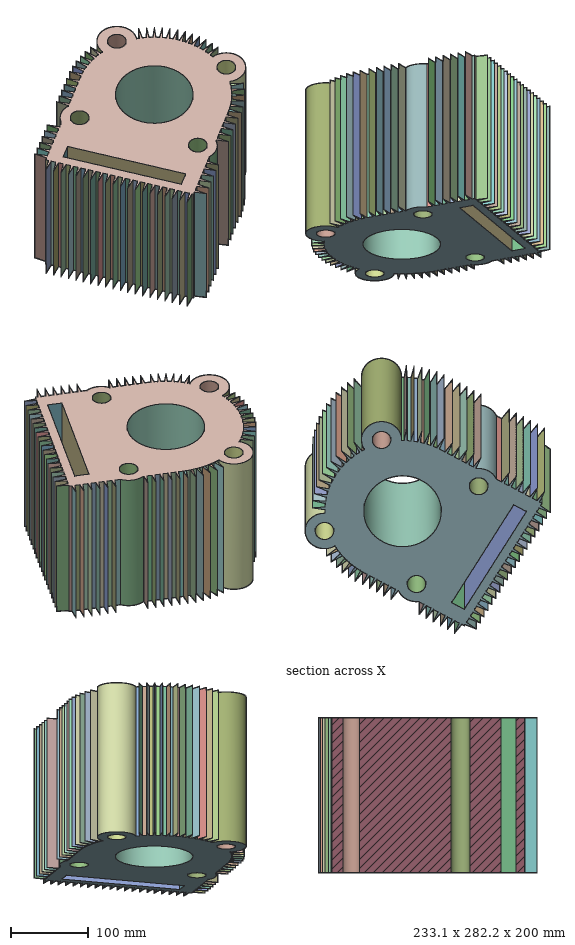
import cadquery as cq
import math


HEIGHT = 200.0
BLOCK_WIDTH = HEIGHT
BLOCK_RADIUS = BLOCK_WIDTH / 2
FLAT_END_Y = -150.0
BORE_RADIUS = BLOCK_RADIUS / 2

BOLT_BOSSES = [
    (-73.6, 74.0, 26.0),
    (74.5, 73.0, 25.0),
    (-79.8, -67.2, 25.0),
    (79.8, -67.2, 25.0),
]
BOLT_HOLE_DIAMETER = 24.0

SLOT_LENGTH = 159.7
SLOT_WIDTH = 19.0
SLOT_CENTRE_Y = -129.0

FIN_WIDTH = 4.0
FIN_ROOT_DEPTH = 1.5

RADIAL_FIN_PITCH = 5
RADIAL_FIN_LENGTH = 16.5
TOP_FIN_START = 62.3
TOP_FIN_COUNT = 12
LEFT_FIN_START = 152.3
LEFT_FIN_COUNT = 6
LOOSE_FIN_START = 1.6
LOOSE_FIN_COUNT = 6
LOOSE_FIN_PITCH = 5.1
LOOSE_FIN_LENGTH = 16.6

SIDE_FIN_COUNT = 14
SIDE_FIN_FIRST_Y = -7.3
SIDE_FIN_LAST_Y = -144.5
SIDE_FINS_OMITTED = (5, 6, 7)
LEFT_SIDE_FIN_LENGTH = 16.5
RIGHT_SIDE_FIN_LENGTH = 15.5

END_FIN_COUNT = 20
END_FIN_FIRST_X = -94.2
END_FIN_LAST_X = 96.2
END_FIN_LENGTH = 15.8


def evenly_spaced(first, last, count):
    """Positions from first to last, both included."""
    pitch = (last - first) / (count - 1)
    return [first + i * pitch for i in range(count)]


def fin_angles(start, count, pitch=RADIAL_FIN_PITCH):
    """Directions of a row of fins around the rounded end, in degrees."""
    return [start + i * pitch for i in range(count)]


def cylinder(x, y, radius):
    """Full-height cylinder on the given centre."""
    return cq.Workplane("XY").center(x, y).circle(radius).extrude(HEIGHT)


def make_fin(x, y, angle, length):
    """Fin whose base is centred on (x, y), pointing along the given angle from +X."""
    return (
        cq.Workplane("XY")
        .moveTo(-FIN_ROOT_DEPTH, -FIN_WIDTH / 2)
        .lineTo(0, -FIN_WIDTH / 2)
        .lineTo(length, 0)
        .lineTo(0, FIN_WIDTH / 2)
        .lineTo(-FIN_ROOT_DEPTH, FIN_WIDTH / 2)
        .close()
        .extrude(HEIGHT)
        .rotate((0, 0, 0), (0, 0, 1), angle)
        .translate((x, y, 0))
    )


def make_radial_fin(angle, length):
    """Fin standing on the rounded end."""
    x = BLOCK_RADIUS * math.cos(math.radians(angle))
    y = BLOCK_RADIUS * math.sin(math.radians(angle))
    return make_fin(x, y, angle, length)


def make_attached_fins():
    """All the fins that are cast in one piece with the block."""
    fins = []
    for angle in fin_angles(TOP_FIN_START, TOP_FIN_COUNT) + fin_angles(LEFT_FIN_START, LEFT_FIN_COUNT):
        fins.append(make_radial_fin(angle, RADIAL_FIN_LENGTH))
    for i, y in enumerate(evenly_spaced(SIDE_FIN_FIRST_Y, SIDE_FIN_LAST_Y, SIDE_FIN_COUNT)):
        if i not in SIDE_FINS_OMITTED:
            fins.append(make_fin(-BLOCK_RADIUS, y, 180, LEFT_SIDE_FIN_LENGTH))
            fins.append(make_fin(BLOCK_RADIUS, y, 0, RIGHT_SIDE_FIN_LENGTH))
    for x in evenly_spaced(END_FIN_FIRST_X, END_FIN_LAST_X, END_FIN_COUNT):
        fins.append(make_fin(x, FLAT_END_Y, -90, END_FIN_LENGTH))
    return fins


def make_casting():
    """D-shaped block with bosses and fins, pierced by the bore, bolt holes and slot."""
    casting = (
        cq.Workplane("XY")
        .moveTo(-BLOCK_RADIUS, FLAT_END_Y)
        .lineTo(BLOCK_RADIUS, FLAT_END_Y)
        .lineTo(BLOCK_RADIUS, 0)
        .threePointArc((0, BLOCK_RADIUS), (-BLOCK_RADIUS, 0))
        .close()
        .extrude(HEIGHT)
    )
    for x, y, radius in BOLT_BOSSES:
        casting = casting.union(cylinder(x, y, radius))
    for fin in make_attached_fins():
        casting = casting.union(fin)

    casting = casting.cut(cylinder(0, 0, BORE_RADIUS))
    for x, y, _ in BOLT_BOSSES:
        casting = casting.cut(cylinder(x, y, BOLT_HOLE_DIAMETER / 2))
    slot = cq.Workplane("XY").center(0, SLOT_CENTRE_Y).rect(SLOT_LENGTH, SLOT_WIDTH).extrude(HEIGHT)
    return casting.cut(slot)


def make_loose_fin(angle):
    """Separate fin whose base is hollowed to sit on the rounded end."""
    return make_radial_fin(angle, LOOSE_FIN_LENGTH).cut(cylinder(0, 0, BLOCK_RADIUS))


casting = make_casting()
loose_fins = [
    make_loose_fin(angle)
    for angle in fin_angles(LOOSE_FIN_START, LOOSE_FIN_COUNT, LOOSE_FIN_PITCH)
]

result = cq.Compound.makeCompound([casting.val(), *[fin.val() for fin in loose_fins]])